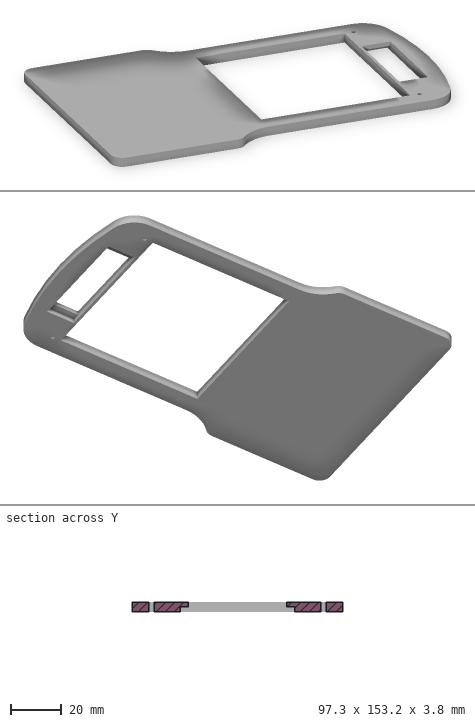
import cadquery as cq
import math

length = 153.2
body_width = 97.3
head_width = 82.7
thickness = 3.8

body_corner_radius = 4.9
head_corner_radius = 11.6
crown_radius = 125.6
neck_radius = 17.5
neck_top_y = 68.3

window_width = 67.1
window_bottom_y = 68.2
window_top_y = 131.5
slot_width = 38.6
slot_bottom_y = 132.7
slot_top_y = 145.0
recess_side_overhang = 3.0
recess_depth = 2.0
pin_hole_diameter = 1.8
pin_hole_spacing = 67.4
pin_hole_y = 135.3


def arc_point(center, radius, degrees):
    """Point on a circle at an angle measured from +X."""
    angle = math.radians(degrees)
    return (center[0] + radius * math.cos(angle), center[1] + radius * math.sin(angle))


def half_plate():
    """Right half of the plate, with the straight edge on the Y axis."""
    body_x = body_width / 2
    head_x = head_width / 2

    corner_center = (body_x - body_corner_radius, body_corner_radius)

    bend_radius = neck_radius + body_corner_radius
    bend_angle = math.degrees(math.acos(1 - (body_x - head_x) / bend_radius))
    neck_center = (head_x + neck_radius, neck_top_y)
    shoulder_y = neck_top_y - bend_radius * math.sin(math.radians(bend_angle))
    shoulder_center = (body_x - body_corner_radius, shoulder_y)

    head_center_x = head_x - head_corner_radius
    crown_center = (0, length - crown_radius)
    center_distance = crown_radius - head_corner_radius
    crown_angle = math.degrees(math.acos(head_center_x / center_distance))
    head_center = arc_point(crown_center, center_distance, crown_angle)

    return (
        cq.Workplane("XY")
        .moveTo(0, 0)
        .lineTo(corner_center[0], 0)
        .threePointArc(
            arc_point(corner_center, body_corner_radius, -45),
            arc_point(corner_center, body_corner_radius, 0),
        )
        .lineTo(body_x, shoulder_y)
        .threePointArc(
            arc_point(shoulder_center, body_corner_radius, bend_angle / 2),
            arc_point(shoulder_center, body_corner_radius, bend_angle),
        )
        .threePointArc(
            arc_point(neck_center, neck_radius, 180 + bend_angle / 2),
            (head_x, neck_top_y),
        )
        .lineTo(head_x, head_center[1])
        .threePointArc(
            arc_point(head_center, head_corner_radius, crown_angle / 2),
            arc_point(head_center, head_corner_radius, crown_angle),
        )
        .threePointArc(
            arc_point(crown_center, crown_radius, (crown_angle + 90) / 2),
            (0, length),
        )
        .close()
        .extrude(thickness)
    )


def rectangular_cutter(width, bottom_y, top_y, depth=thickness):
    """Block rising from the underside, centred on the Y axis."""
    return (
        cq.Workplane("XY")
        .center(0, (bottom_y + top_y) / 2)
        .rect(width, top_y - bottom_y)
        .extrude(depth)
    )


def pin_hole_cutters():
    """Pair of small round holes beside the slot."""
    return (
        cq.Workplane("XY")
        .pushPoints([(side * pin_hole_spacing / 2, pin_hole_y) for side in (-1, 1)])
        .circle(pin_hole_diameter / 2)
        .extrude(thickness)
    )


recess_width = slot_width + 2 * recess_side_overhang

right_half = half_plate()
plate = right_half.union(right_half.mirror("YZ")).clean()

result = (
    plate
    .cut(rectangular_cutter(window_width, window_bottom_y, window_top_y))
    .cut(rectangular_cutter(slot_width, slot_bottom_y, slot_top_y))
    .cut(rectangular_cutter(recess_width, slot_bottom_y, slot_top_y, recess_depth))
    .cut(pin_hole_cutters())
)